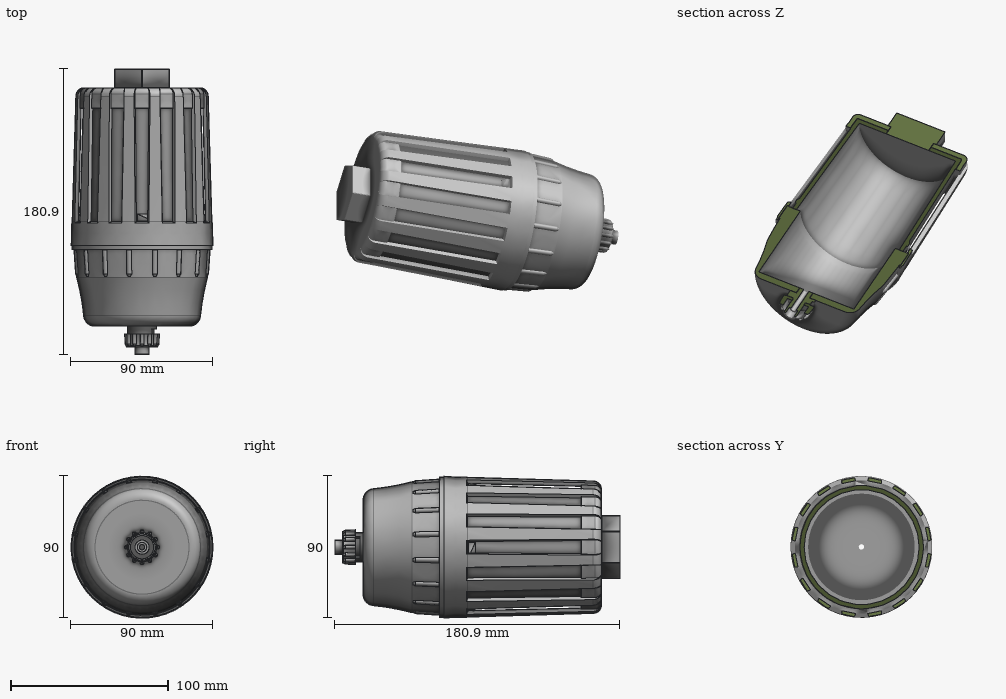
import cadquery as cq
import math


knob_front = 4.7
knob_back = 13.0
base_front = 17.8
base_fillet_end = 24.5
base_waist = 36.7
base_shoulder = 48.8
guard_front = 66.4
guard_lip_end = 69.1
slot_front = 83.1
ring_back = 84.1
window_back = 156.3
guard_back = 169.0
port_back = 180.9

guard_radius = 45.0
guard_lip_radius = 44.5
ring_back_radius = 44.55
guard_back_radius = 42.3
rib_fillet = 5.5
recess_depth = 1.5
guard_wall = 2.3
guard_end_wall = 4.0
slot_count = 16
slot_pitch = 360 / slot_count
slot_depth = 8.0
slot_front_half_width = 4.6
slot_back_half_width = 6.35
slot_side_draft = 20.0
window_bevel = 0.4

base_flat_radius = 29.8
base_fillet_radius = 37.1
base_waist_radius = 38.8
base_shoulder_radius = 41.5
base_mouth_radius = 42.7
plug_radius = 43.2
mouth_groove_depth = 2.0
plug_front = guard_front + mouth_groove_depth
plug_back = 80.0
base_cavity_radius = 33.8
base_floor = 5.0

grip_radius = 1.7
grip_tip_radius = 0.9
grip_sink = 0.4
grip_front = 49.4
grip_tip_length = 1.7
grip_clearance = 0.2
grip_back = guard_front - grip_clearance

bowl_gap = 2.8
bowl_inset = guard_wall + bowl_gap
bowl_wall = 3.0
bowl_back = guard_back - guard_end_wall
lug_count = 4
lug_clearance = 0.5
lug_front = ring_back + lug_clearance
lug_left = -3.0
lug_right = 3.6
lug_back = 89.0
lug_lean = 3.0
lug_radius = 41.5

hex_across_flats = 34.8
hex_across_corners = hex_across_flats / math.cos(math.radians(30))
hex_chamfer = 0.3
port_spigot_radius = 15.0

neck_radius = 9.25
neck_notch_radius = 7.7
neck_notch_half_angle = 47.0
neck_notch_back = 16.0
stem_radius = 4.5
stem_mouth_radius = 3.0
stem_mouth_depth = 5.0
stem_bore_radius = 1.7
knob_core_radius = 9.1
knob_recess_radius = 7.4
knob_web = 2.0
knob_chamfer = 0.8
knob_bump_count = 12
knob_bump_radius = 1.25
knob_bump_front_center = 9.4
knob_bump_back_center = 9.8
knob_bump_tip_radius = 0.4
knob_bump_tip_length = 1.9


def turned(profile):
    """Solid of revolution about Y from a closed outline in (radius, Y)."""
    return profile.close().revolve(360, (0, 0, 0), (0, 1, 0))


def cylinder(radius, front, back):
    half_section = cq.Workplane("XY").moveTo(0, front).lineTo(radius, front).lineTo(radius, back).lineTo(0, back)
    return turned(half_section)


def around_axis(body, angle):
    return body.rotate((0, 0, 0), (0, 1, 0), angle)


def cone_radius(position, inset=0.0):
    """Radius of the guard's tapered cage at a place along Y, moved inward by an inset."""
    slope = (ring_back_radius - guard_back_radius) / (guard_back - rib_fillet - ring_back)
    return ring_back_radius - slope * (position - ring_back) - inset


def bump(start, end, radius, tip_radius, tip_length):
    """Round bar between two (Y, radius) places on the +Z side, narrowing to a conical tip at the end."""
    along = cq.Vector(0, end[0] - start[0], end[1] - start[1])
    length = along.Length
    plane = cq.Plane(origin=(0, *start), xDir=(1, 0, 0), normal=along.toTuple())
    bar_length = length - tip_length
    bar = cq.Workplane("XY").circle(radius).extrude(bar_length)
    tip = cq.Workplane(cq.Solid.makeCone(radius, tip_radius, tip_length, pnt=cq.Vector(0, 0, bar_length)))
    return cq.Workplane(bar.union(tip).val().moved(cq.Location(plane)))


def outside_to_port(profile, inset):
    """Continue an outline from the cage's side over its rounded end to the port hole."""
    fillet = rib_fillet - inset
    edge = guard_back - fillet
    side = cone_radius(edge, inset)
    bulge = fillet * (1 - math.sqrt(0.5))
    return (
        profile.lineTo(side, edge)
        .threePointArc((side - bulge, guard_back - bulge), (side - fillet, guard_back))
        .lineTo(port_spigot_radius, guard_back)
        .lineTo(port_spigot_radius, bowl_back)
    )


def rib_shell():
    """Ring and cage wall, full height of the ribs, before slotting."""
    outside = (
        cq.Workplane("XY")
        .moveTo(cone_radius(plug_back, guard_wall), plug_back)
        .lineTo(plug_radius, plug_back)
        .lineTo(plug_radius, guard_front)
        .lineTo(guard_lip_radius, guard_front)
        .lineTo(guard_lip_radius, guard_lip_end)
        .lineTo(guard_radius, guard_lip_end)
        .lineTo(ring_back_radius, ring_back)
    )
    return turned(outside_to_port(outside, 0).lineTo(cone_radius(bowl_back, guard_wall), bowl_back))


def rounded_end():
    """Cap recessed between the ribs, fitting closely around the bowl; its front edge is bevelled."""
    front = window_back - window_bevel
    rim = cone_radius(window_back, recess_depth)
    outside = (
        cq.Workplane("XY")
        .moveTo(cone_radius(front, bowl_inset), front)
        .lineTo(rim - window_bevel, front)
        .lineTo(rim, window_back)
    )
    outside = outside_to_port(outside, recess_depth)
    return turned(outside.lineTo(cone_radius(bowl_back, bowl_inset), bowl_back))


def guard_slot():
    """Slot on the +Z side, narrowing inward and toward the front, running out past the back end."""
    past_end = guard_back + rib_fillet
    inward = cq.Plane(origin=(0, 0, guard_radius), xDir=(-1, 0, 0), normal=(0, 0, -1))
    return (
        cq.Workplane(inward)
        .moveTo(-slot_front_half_width, slot_front)
        .lineTo(slot_front_half_width, slot_front)
        .lineTo(slot_back_half_width, past_end)
        .lineTo(-slot_back_half_width, past_end)
        .close()
        .extrude(slot_depth, taper=slot_side_draft)
    )


def make_guard():
    slot = guard_slot()
    slots = [around_axis(slot, index * slot_pitch).val() for index in range(slot_count)]
    ribs = cq.Workplane(rib_shell().val().cut(*slots))
    return ribs.union(rounded_end())


def base_grip():
    def center(position):
        slope = (base_mouth_radius - base_shoulder_radius) / (guard_front - base_shoulder)
        return position, base_shoulder_radius + slope * (position - base_shoulder) - grip_sink

    return bump(center(grip_back), center(grip_front), grip_radius, grip_tip_radius, grip_tip_length)


def make_base():
    base = turned(
        cq.Workplane("XY")
        .moveTo(0, base_front)
        .lineTo(base_flat_radius, base_front)
        .tangentArcPoint((base_fillet_radius, base_fillet_end), relative=False)
        .threePointArc((base_waist_radius, base_waist), (base_shoulder_radius, base_shoulder))
        .lineTo(base_mouth_radius, guard_front)
        .lineTo(base_mouth_radius, plug_front)
        .lineTo(plug_radius, plug_front)
        .lineTo(plug_radius, plug_back)
        .lineTo(0, plug_back)
    )
    grip = base_grip()
    grips = [around_axis(grip, (index + 0.5) * slot_pitch).val() for index in range(slot_count)]
    base = cq.Workplane(base.val().fuse(*grips))
    base = base.cut(cylinder(base_cavity_radius, base_front + base_floor, plug_back))
    return base.cut(cylinder(stem_radius, base_front, base_front + base_floor))


def bowl_lug():
    """Wedge on the +Z side that rises to the right, with its back face leaning over the bowl."""
    foot = cone_radius(lug_back, bowl_inset)
    root = foot - bowl_wall / 2
    leaning_bar = (
        cq.Workplane("YZ", origin=(lug_left, 0, 0))
        .moveTo(lug_front, root)
        .lineTo(lug_back, root)
        .lineTo(lug_back, foot)
        .lineTo(lug_back - lug_lean, lug_radius)
        .lineTo(lug_front, lug_radius)
        .close()
        .extrude(lug_right - lug_left)
    )
    ramp = (
        cq.Workplane("XZ", origin=(0, lug_back, 0))
        .moveTo(lug_left, root)
        .lineTo(lug_right, root)
        .lineTo(lug_right, lug_radius)
        .lineTo(lug_left, foot)
        .close()
        .extrude(lug_back - lug_front)
    )
    return leaning_bar.intersect(ramp)


def make_bowl():
    inner_inset = bowl_inset + bowl_wall
    bowl_inner_back = bowl_back - bowl_wall
    bowl = turned(
        cq.Workplane("XY")
        .moveTo(cone_radius(plug_back, inner_inset), plug_back)
        .lineTo(cone_radius(plug_back, bowl_inset), plug_back)
        .lineTo(cone_radius(bowl_back, bowl_inset), bowl_back)
        .lineTo(port_spigot_radius, bowl_back)
        .lineTo(port_spigot_radius, bowl_inner_back)
        .lineTo(cone_radius(bowl_inner_back, inner_inset), bowl_inner_back)
    )
    lug = bowl_lug()
    for index in range(lug_count):
        bowl = bowl.union(around_axis(lug, index * 360 / lug_count))
    return bowl


def make_port():
    """Hexagon with corners at +Z and -Z, and a round spigot through the guard and bowl ends."""
    hexagon = (
        cq.Workplane("ZX", origin=(0, guard_back, 0))
        .polygon(6, hex_across_corners)
        .extrude(port_back - guard_back)
        .edges()
        .chamfer(hex_chamfer)
    )
    return hexagon.union(cylinder(port_spigot_radius, bowl_back - bowl_wall, guard_back))


def make_stem():
    stem_back = base_front + base_floor
    stem = cylinder(stem_radius, 0, stem_back).union(cylinder(neck_radius, knob_back, base_front))
    angle = math.radians(neck_notch_half_angle)
    reach = 2 * neck_radius
    sector = (
        cq.Workplane("ZX", origin=(0, knob_back, 0))
        .lineTo(-reach * math.sin(angle), reach * math.cos(angle))
        .lineTo(reach * math.sin(angle), reach * math.cos(angle))
        .close()
        .extrude(neck_notch_back - knob_back)
    )
    stem = stem.cut(sector.cut(cylinder(neck_notch_radius, knob_back, neck_notch_back)))
    stem = stem.cut(cylinder(stem_bore_radius, 0, stem_back))
    return stem.cut(cylinder(stem_mouth_radius, 0, stem_mouth_depth))


def make_knob():
    knob = cylinder(knob_core_radius, knob_front, knob_back).faces("<Y").chamfer(knob_chamfer)
    grip = bump(
        (knob_back, knob_bump_back_center),
        (knob_front, knob_bump_front_center),
        knob_bump_radius,
        knob_bump_tip_radius,
        knob_bump_tip_length,
    )
    grips = [around_axis(grip, index * 360 / knob_bump_count).val() for index in range(knob_bump_count)]
    knob = cq.Workplane(knob.val().fuse(*grips))
    knob = knob.intersect(cylinder(2 * knob_core_radius, knob_front, knob_back))
    knob = knob.cut(cylinder(knob_recess_radius, knob_front, knob_back - knob_web))
    return knob.cut(cylinder(stem_radius, knob_front, knob_back))


guard = make_guard()
base = make_base()
bowl = make_bowl()
port = make_port()
stem = make_stem()
knob = make_knob()

result = cq.Compound.makeCompound([guard.val(), base.val(), bowl.val(), port.val(), stem.val(), knob.val()])